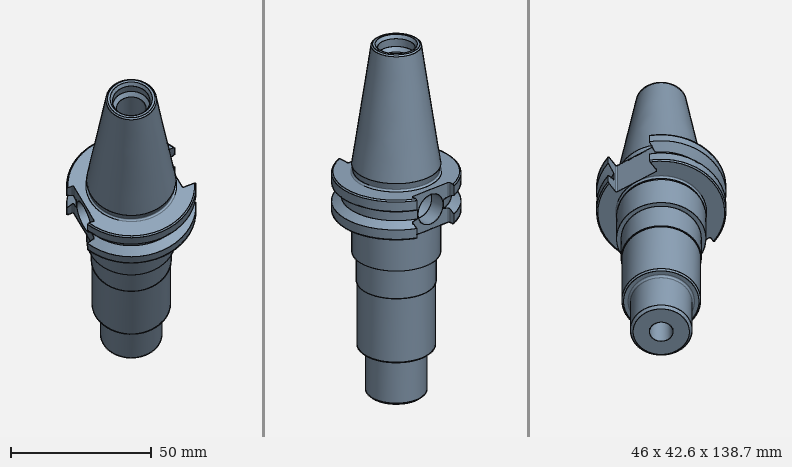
import cadquery as cq
import math


GAUGE_RADIUS = 31.75 / 2
TAPER_LENGTH = 47.63
TAPER_SLOPE = 7 / 48
TAPER_TIP_CHAMFER = 0.5

FLANGE_RADIUS = 46.03 / 2
FLANGE_TOP = -3.175
FLANGE_THICKNESS = 15.875
FLANGE_BOTTOM = FLANGE_TOP - FLANGE_THICKNESS
FLANGE_CHAMFER = 0.5
NECK_RADIUS = 15.45
NECK_FILLET = 0.7
LOWER_RELIEF_LENGTH = 2.0

GROOVE_CENTER = -11.11
GROOVE_FLOOR_RADIUS = 19.6
GROOVE_FLOOR_WIDTH = 3.5
GROOVE_WALL_ANGLE = 30

SLOT_HALF_WIDTH = math.sqrt(FLANGE_RADIUS**2 - (42.63 / 2) ** 2)
SLOT_FLOOR_FRONT = 18.65
SLOT_FLOOR_BACK = 16.1
SLOT_CORNER_RADIUS = 0.5

DIMPLE_DIAMETER = 11.7
DIMPLE_DEPTH = 6.2
DRILL_POINT_ANGLE = 118

NOSE_END = TAPER_LENGTH - 138.73
BODY_RADIUS = GAUGE_RADIUS
BODY_END = -34.9
STEP_RADIUS = 28.5 / 2
STEP_END = -46.7
BARREL_RADIUS = 28 / 2
BARREL_END = -72.8
BARREL_CHAMFER = 0.6
NOSE_RADIUS = 22 / 2
NOSE_FILLET = 0.8
NOSE_CHAMFER = 1.0

BORE_RADIUS = 8.38 / 2
THREAD_RADIUS = 10.58 / 2
THREAD_END = 15.0
COUNTERBORE_RADIUS = 13.3 / 2
COUNTERBORE_DEPTH = 4.4
COUNTERBORE_CONE = 1.5
MOUTH_RADIUS = 7.5
MOUTH_CHAMFER_DEPTH = 1.3

CUT_MARGIN = 5.0


def fillet_mid(center_r, center_z, radius, up):
    """Point on the 45 degree line of a concave fillet, on the side facing the axis."""
    reach = radius * math.sqrt(0.5)
    return (center_r - reach, center_z + (reach if up else -reach))


def make_turned_body():
    tip_radius = GAUGE_RADIUS - TAPER_SLOPE * TAPER_LENGTH
    chamfer_start = TAPER_LENGTH - TAPER_TIP_CHAMFER
    chamfer_radius = GAUGE_RADIUS - TAPER_SLOPE * chamfer_start
    neck_out = NECK_RADIUS + NECK_FILLET
    nose_out = NOSE_RADIUS + NOSE_FILLET
    rim_radius = FLANGE_RADIUS - FLANGE_CHAMFER
    step_drop = STEP_RADIUS - BARREL_RADIUS
    upper_tangent = FLANGE_TOP + NECK_FILLET
    lower_tangent = FLANGE_BOTTOM - NECK_FILLET
    nose_tangent = BARREL_END - NOSE_FILLET
    return (
        cq.Workplane("XZ")
        .moveTo(0, TAPER_LENGTH)
        .lineTo(tip_radius - TAPER_TIP_CHAMFER, TAPER_LENGTH)
        .lineTo(chamfer_radius, chamfer_start)
        .lineTo(GAUGE_RADIUS, 0)
        .lineTo(NECK_RADIUS, upper_tangent)
        .threePointArc(
            fillet_mid(neck_out, upper_tangent, NECK_FILLET, False), (neck_out, FLANGE_TOP)
        )
        .lineTo(rim_radius, FLANGE_TOP)
        .lineTo(FLANGE_RADIUS, FLANGE_TOP - FLANGE_CHAMFER)
        .lineTo(FLANGE_RADIUS, FLANGE_BOTTOM + FLANGE_CHAMFER)
        .lineTo(rim_radius, FLANGE_BOTTOM)
        .lineTo(neck_out, FLANGE_BOTTOM)
        .threePointArc(
            fillet_mid(neck_out, lower_tangent, NECK_FILLET, True), (NECK_RADIUS, lower_tangent)
        )
        .lineTo(BODY_RADIUS, FLANGE_BOTTOM - LOWER_RELIEF_LENGTH)
        .lineTo(BODY_RADIUS, BODY_END)
        .lineTo(STEP_RADIUS, BODY_END)
        .lineTo(STEP_RADIUS, STEP_END)
        .lineTo(BARREL_RADIUS, STEP_END - step_drop)
        .lineTo(BARREL_RADIUS, BARREL_END + BARREL_CHAMFER)
        .lineTo(BARREL_RADIUS - BARREL_CHAMFER, BARREL_END)
        .lineTo(nose_out, BARREL_END)
        .threePointArc(
            fillet_mid(nose_out, nose_tangent, NOSE_FILLET, True), (NOSE_RADIUS, nose_tangent)
        )
        .lineTo(NOSE_RADIUS, NOSE_END + NOSE_CHAMFER)
        .lineTo(NOSE_RADIUS - NOSE_CHAMFER, NOSE_END)
        .lineTo(0, NOSE_END)
        .close()
        .revolve(360, (0, 0, 0), (0, 1, 0))
    )


def make_groove():
    """V-shaped ring cut around the flange, with a cylindrical floor."""
    outer = FLANGE_RADIUS + CUT_MARGIN
    half_floor = GROOVE_FLOOR_WIDTH / 2
    half_mouth = half_floor + (outer - GROOVE_FLOOR_RADIUS) * math.tan(math.radians(GROOVE_WALL_ANGLE))
    return (
        cq.Workplane("XZ")
        .moveTo(GROOVE_FLOOR_RADIUS, GROOVE_CENTER - half_floor)
        .lineTo(outer, GROOVE_CENTER - half_mouth)
        .lineTo(outer, GROOVE_CENTER + half_mouth)
        .lineTo(GROOVE_FLOOR_RADIUS, GROOVE_CENTER + half_floor)
        .close()
        .revolve(360, (0, 0, 0), (0, 1, 0))
    )


def make_slot(side, floor_distance):
    """Drive slot through the flange; side is -1 for -Y and +1 for +Y."""
    depth = FLANGE_RADIUS + CUT_MARGIN - floor_distance
    inner_edges = "<Y" if side > 0 else ">Y"
    return (
        cq.Workplane("XY", origin=(0, side * (floor_distance + depth / 2), FLANGE_BOTTOM))
        .rect(2 * SLOT_HALF_WIDTH, depth)
        .extrude(FLANGE_THICKNESS)
        .faces(inner_edges)
        .edges("|Z")
        .fillet(SLOT_CORNER_RADIUS)
    )


def make_dimple():
    """Drilled hole with a conical bottom, along +Y from outside the -Y slot floor."""
    radius = DIMPLE_DIAMETER / 2
    cylinder_end = DIMPLE_DEPTH - SLOT_FLOOR_FRONT
    point_length = radius / math.tan(math.radians(DRILL_POINT_ANGLE / 2))
    mouth = -FLANGE_RADIUS - CUT_MARGIN
    return (
        cq.Workplane("XY", origin=(0, 0, GROOVE_CENTER))
        .moveTo(0, mouth)
        .lineTo(radius, mouth)
        .lineTo(radius, cylinder_end)
        .lineTo(0, cylinder_end + point_length)
        .close()
        .revolve(360, (0, 0, 0), (0, 1, 0))
    )


def make_bore():
    counterbore_end = TAPER_LENGTH - COUNTERBORE_DEPTH
    return (
        cq.Workplane("XZ")
        .moveTo(0, TAPER_LENGTH)
        .lineTo(MOUTH_RADIUS, TAPER_LENGTH)
        .lineTo(COUNTERBORE_RADIUS, TAPER_LENGTH - MOUTH_CHAMFER_DEPTH)
        .lineTo(COUNTERBORE_RADIUS, counterbore_end)
        .lineTo(THREAD_RADIUS, counterbore_end - COUNTERBORE_CONE)
        .lineTo(THREAD_RADIUS, THREAD_END)
        .lineTo(BORE_RADIUS, THREAD_END)
        .lineTo(BORE_RADIUS, NOSE_END)
        .lineTo(0, NOSE_END)
        .close()
        .revolve(360, (0, 0, 0), (0, 1, 0))
    )


result = (
    make_turned_body()
    .cut(make_groove())
    .cut(make_slot(-1, SLOT_FLOOR_FRONT))
    .cut(make_slot(1, SLOT_FLOOR_BACK))
    .cut(make_dimple())
    .cut(make_bore())
)